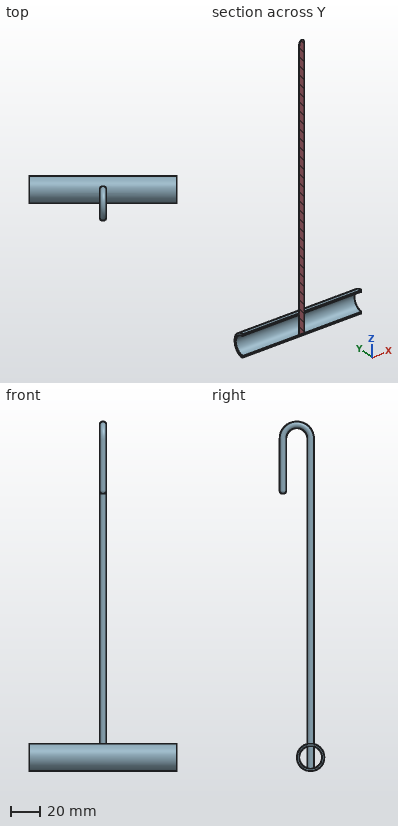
import cadquery as cq

TUBE_LENGTH = 101.6
TUBE_OUTER_DIAMETER = 19.05
TUBE_INNER_DIAMETER = 15.49

ROD_DIAMETER = 4.76
ROD_BEND_RADIUS = 9.525
SHANK_TOP = 219.075
HOOK_LEG_LENGTH = 38.0

hook_y = -2 * ROD_BEND_RADIUS
bend_top = SHANK_TOP + ROD_BEND_RADIUS
dome_z = SHANK_TOP - HOOK_LEG_LENGTH + ROD_DIAMETER / 2


def tube_cylinder(diameter):
    """Solid cylinder on the handle axis, as long as the handle."""
    return cq.Workplane("YZ").circle(diameter / 2).extrude(TUBE_LENGTH / 2, both=True)


def rod_profile():
    """Round section of the rod at the handle axis."""
    return cq.Workplane("XY").circle(ROD_DIAMETER / 2)


def make_rod():
    """Bent rod with a domed hook tip, its lower end seated on the bottom of the bore."""
    path = (
        cq.Workplane("YZ")
        .lineTo(0, SHANK_TOP)
        .threePointArc((hook_y / 2, bend_top), (hook_y, SHANK_TOP))
        .lineTo(hook_y, dome_z)
    )
    bent_rod = rod_profile().sweep(path)
    dome = cq.Workplane("YZ", origin=(0, hook_y, dome_z)).sphere(ROD_DIAMETER / 2)

    lower_end = rod_profile().extrude(-TUBE_OUTER_DIAMETER / 2)
    seated_end = lower_end.intersect(tube_cylinder(TUBE_INNER_DIAMETER))
    return bent_rod.union(dome).union(seated_end)


def make_handle(rod):
    """Plain tube with a hole through the top of its wall that fits the rod."""
    tube = tube_cylinder(TUBE_OUTER_DIAMETER).cut(tube_cylinder(TUBE_INNER_DIAMETER))
    return tube.cut(rod)


rod = make_rod()
handle = make_handle(rod)

result = cq.Compound.makeCompound([handle.solids().val(), rod.solids().val()])